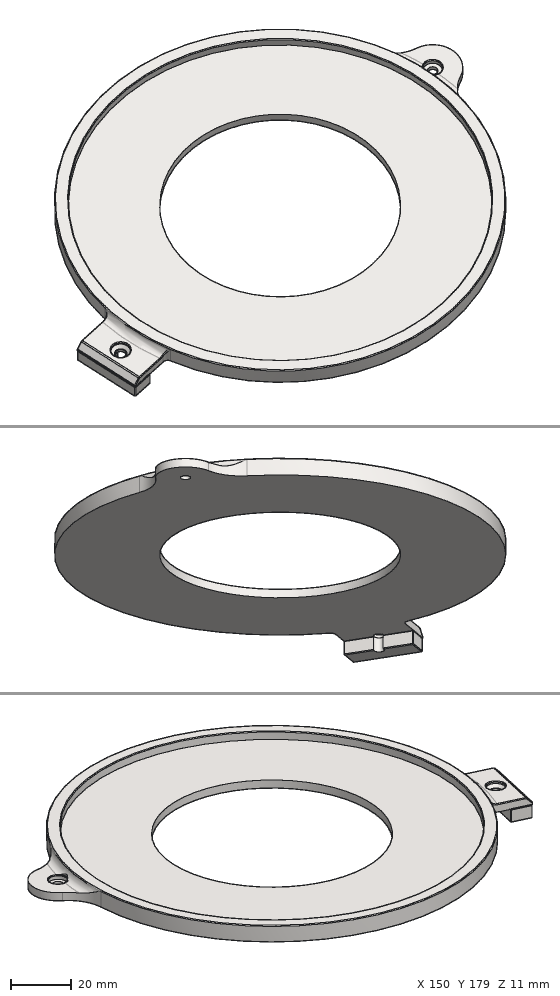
import cadquery as cq
import math

RING_DIAMETER = 150.0
RECESS_DIAMETER = 140.7
BORE_DIAMETER = 80.0
RING_HEIGHT = 6.0
FLOOR_THICKNESS = 3.0
RING_RADIUS = RING_DIAMETER / 2

EDGE_BREAK = 0.3

EAR_THICKNESS = 3.0
BLEND_REACH = 3.0

LUG_RADIUS = 10.0
LUG_Y = 79.0
LUG_FLANK_RADIUS = 14.3
LUG_HOLE_DIAMETER = 3.4
COUNTERBORE_DEPTH = 1.6

SCREW_HEAD_DIAMETER = 6.5

OVERALL_LENGTH = 179.0
TAB_WIDTH = 25.2
TAB_END_Y = LUG_Y + LUG_RADIUS - OVERALL_LENGTH
TAB_CORNER_RADIUS = 2.0
TAB_SLOPE = 2.1
TAB_HOLE_DIAMETER = 3.5
TAB_HOLE_Y = -82.5
COUNTERSINK_WALL = 0.5
COUNTERSINK_DEPTH = 1.0
COUNTERSINK_SEAT_DIAMETER = 4.1

FOOT_HEIGHT = 5.0
FOOT_LENGTH = 8.0


def revolve_about_z(outline):
    """Full turn of a closed XZ outline about the Z axis."""
    return outline.close().revolve(360, (0, 0, 0), (0, 1, 0))


def make_recess():
    """Round pocket above the floor of the ring, flared where it breaks the rim's inner edge."""
    radius = RECESS_DIAMETER / 2
    return revolve_about_z(
        cq.Workplane("XZ")
        .moveTo(0, FLOOR_THICKNESS)
        .lineTo(radius, FLOOR_THICKNESS)
        .lineTo(radius, RING_HEIGHT - EDGE_BREAK)
        .lineTo(radius + EDGE_BREAK, RING_HEIGHT)
        .lineTo(0, RING_HEIGHT)
    )


def make_blend_envelope():
    """Solid of revolution at ear height, rising to the chamfered rim in a concave arc."""
    return revolve_about_z(
        cq.Workplane("XZ")
        .lineTo(OVERALL_LENGTH, 0)
        .lineTo(OVERALL_LENGTH, EAR_THICKNESS)
        .lineTo(RING_RADIUS + BLEND_REACH, EAR_THICKNESS)
        .tangentArcPoint((RING_RADIUS, RING_HEIGHT - EDGE_BREAK), relative=False)
        .lineTo(RING_RADIUS - EDGE_BREAK, RING_HEIGHT)
        .lineTo(0, RING_HEIGHT)
    )


def arc_middle(center, radius, start, end):
    """Point halfway along the short arc from start to end about a center."""
    angle = math.atan2(start[1] + end[1] - 2 * center[1], start[0] + end[0] - 2 * center[0])
    return (center[0] + radius * math.cos(angle), center[1] + radius * math.sin(angle))


def mirrored(point):
    """The same point on the other side of the YZ plane."""
    return (-point[0], point[1])


def make_lug():
    """Rounded ear whose flanks sweep into the ring along concave arcs."""
    to_ring = RING_RADIUS + LUG_FLANK_RADIUS
    to_lug = LUG_RADIUS + LUG_FLANK_RADIUS
    flank_y = (to_ring**2 - to_lug**2 + LUG_Y**2) / (2 * LUG_Y)
    flank_x = math.sqrt(to_ring**2 - flank_y**2)
    ring_share = RING_RADIUS / to_ring
    lug_share = LUG_RADIUS / to_lug
    ring_point = (flank_x * ring_share, flank_y * ring_share)
    lug_point = (flank_x * lug_share, LUG_Y + (flank_y - LUG_Y) * lug_share)
    middle = arc_middle((flank_x, flank_y), LUG_FLANK_RADIUS, ring_point, lug_point)
    outline = (
        cq.Workplane("XY")
        .moveTo(*ring_point)
        .threePointArc(middle, lug_point)
        .threePointArc((0, LUG_Y + LUG_RADIUS), mirrored(lug_point))
        .threePointArc(mirrored(middle), mirrored(ring_point))
        .close()
    )
    return outline.extrude(RING_HEIGHT).intersect(make_blend_envelope())


def make_tab():
    """Square ear with rounded inner corners, a sloped outer end and broken edges."""
    half_width = TAB_WIDTH / 2
    to_ring = RING_RADIUS + TAB_CORNER_RADIUS
    corner_x = half_width + TAB_CORNER_RADIUS
    corner_y = -math.sqrt(to_ring**2 - corner_x**2)
    ring_share = RING_RADIUS / to_ring
    ring_point = (corner_x * ring_share, corner_y * ring_share)
    side_point = (half_width, corner_y)
    middle = arc_middle((corner_x, corner_y), TAB_CORNER_RADIUS, ring_point, side_point)
    outline = (
        cq.Workplane("XY")
        .moveTo(*ring_point)
        .threePointArc(middle, side_point)
        .lineTo(half_width, TAB_END_Y)
        .lineTo(-half_width, TAB_END_Y)
        .lineTo(*mirrored(side_point))
        .threePointArc(mirrored(middle), mirrored(ring_point))
        .close()
    )
    slope_bottom_z = EAR_THICKNESS - TAB_SLOPE
    slope = (
        cq.Workplane("YZ")
        .moveTo(TAB_END_Y, slope_bottom_z)
        .lineTo(TAB_END_Y + TAB_SLOPE, EAR_THICKNESS)
        .lineTo(TAB_END_Y, EAR_THICKNESS)
        .close()
        .extrude(half_width, both=True)
    )
    tab = outline.extrude(RING_HEIGHT).intersect(make_blend_envelope()).cut(slope)
    upper_outer_edges = cq.selectors.BoxSelector(
        (-TAB_WIDTH, TAB_END_Y - EDGE_BREAK, slope_bottom_z + EDGE_BREAK / 2),
        (TAB_WIDTH, -RING_RADIUS - EDGE_BREAK, RING_HEIGHT),
    )
    return tab.edges(upper_outer_edges).chamfer(EDGE_BREAK)


def make_hole(y, wall):
    """Round cutter about a vertical axis at y; the wall runs upward as (radius, z) points."""
    bottom_z = wall[0][1]
    top_z = wall[-1][1]
    outline = cq.Workplane("XZ").polyline([(0, bottom_z), *wall, (0, top_z)])
    return revolve_about_z(outline).translate((0, y, 0))


def make_lug_hole():
    """Counterbored hole with a broken mouth edge, cut straight up through the blend."""
    hole_radius = LUG_HOLE_DIAMETER / 2
    head_radius = SCREW_HEAD_DIAMETER / 2
    shelf_z = EAR_THICKNESS - COUNTERBORE_DEPTH
    wall = [
        (hole_radius, 0),
        (hole_radius, shelf_z),
        (head_radius, shelf_z),
        (head_radius, EAR_THICKNESS - EDGE_BREAK),
        (head_radius + EDGE_BREAK, EAR_THICKNESS),
        (head_radius, EAR_THICKNESS),
        (head_radius, RING_HEIGHT),
    ]
    return make_hole(LUG_Y, wall)


def make_tab_hole():
    """Countersunk hole with a broken mouth edge, running down through the foot."""
    hole_radius = TAB_HOLE_DIAMETER / 2
    head_radius = SCREW_HEAD_DIAMETER / 2
    mouth_z = EAR_THICKNESS - EDGE_BREAK
    cone_top_z = mouth_z - COUNTERSINK_WALL
    seat_z = cone_top_z - COUNTERSINK_DEPTH
    wall = [
        (hole_radius, -FOOT_HEIGHT),
        (hole_radius, seat_z),
        (COUNTERSINK_SEAT_DIAMETER / 2, seat_z),
        (head_radius, cone_top_z),
        (head_radius, mouth_z),
        (head_radius + EDGE_BREAK, EAR_THICKNESS),
    ]
    return make_hole(TAB_HOLE_Y, wall)


def make_ring():
    """Ring with both ears, the centre bore, the recess and the screw holes."""
    disc = cq.Workplane("XY").circle(RING_RADIUS).extrude(RING_HEIGHT)
    disc = disc.faces(">Z").edges().chamfer(EDGE_BREAK)
    bore = cq.Workplane("XY").circle(BORE_DIAMETER / 2).extrude(RING_HEIGHT)
    body = disc.union(make_lug()).union(make_tab())
    return body.cut(bore).cut(make_recess()).cut(make_lug_hole()).cut(make_tab_hole())


def make_foot():
    """Rectangular block with all edges broken; the tab hole notches its inner side."""
    block = (
        cq.Workplane("XY")
        .box(TAB_WIDTH, FOOT_LENGTH, FOOT_HEIGHT, centered=(True, False, False))
        .translate((0, TAB_END_Y, -FOOT_HEIGHT))
    )
    return block.edges().chamfer(EDGE_BREAK).cut(make_tab_hole())


ring = make_ring()
foot = make_foot()
result = cq.Compound.makeCompound([ring.solids().val(), foot.solids().val()])